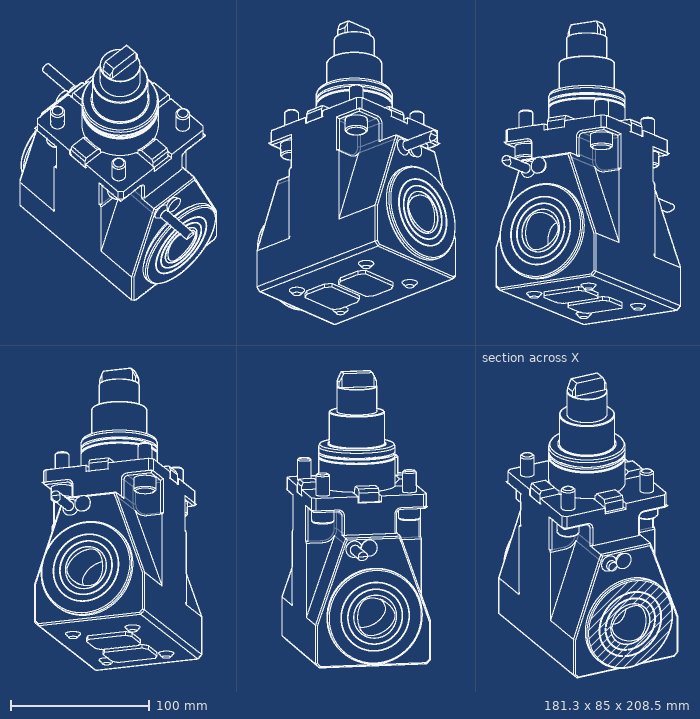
import cadquery as cq
import math


PLATE_LENGTH = 90.0
PLATE_WIDTH = 85.0
PLATE_CORNER = 2.8
PLATE_CORNER_DEPTH = 9.2

BODY_CENTER_X = -2.0
BODY_LENGTH = 119.4
BODY_TOP = -27.9
BODY_BOTTOM = -122.5
BODY_END_CHAMFER = 1.2
BODY_BOTTOM_CHAMFER = 3.0
TOWER_HALF_LENGTH = 24.6
SLOPE_TOP = -31.7
SLOPE_BOTTOM = -91.0

POCKET_WALL_X = 23.7
POCKET_WALL_Y = 20.2
POCKET_CEILING = -10.7
POCKET_FLOOR = -36.7
POCKET_FLARE_FLOOR = -35.3
POCKET_TOP_RADIUS = 3.0
POCKET_FLOOR_RADIUS = 10.3
POCKET_CORNER_RADIUS = 1.5
POCKET_FLARE = 1.5

SCREW_OFFSET = 32.0
SCREW_DIAMETER = 10.0
SCREW_TIP = 15.4
SCREW_TIP_CHAMFER = 1.2
HEAD_DIAMETER = 16.0
HEAD_LENGTH = 9.4
HEAD_CHAMFER = 1.0

KEY_WIDTH = 14.8
KEY_SLOT_WIDTH = 17.0
KEY_INNER = 26.0
KEY_BEVEL_FOOT = 27.2
KEY_OUTER = 42.3
KEY_TOP = 5.0
KEY_SLOT_DEPTH = 4.6
KEY_INNER_BEVEL = 2.8
KEY_OUTER_BEVEL = 1.2
KEY_BEVEL_HEIGHT = 2.8

COLLAR_DIAMETER = 55.3
COLLAR_TOP = 30.4
COLLAR_CHAMFER = 0.8
COLLAR_CHAMFER_HEIGHT = 1.8
GROOVE_DIAMETER = 50.0
GROOVE_TOP = 24.9
GROOVE_BOTTOM = 23.6
RELIEF_DIAMETER = 54.0
RELIEF_TOP = 21.2
RELIEF_BOTTOM = 20.4
STEP_DIAMETER = 42.0
STEP_HEIGHT = 0.6
SHAFT_DIAMETER = 40.0
SHAFT_TOP = 54.4
SHAFT_CHAMFER = 0.6
NOSE_DIAMETER = 29.0
NOSE_TOP = 73.0
NOSE_CHAMFER = 0.3
TANG_TOP = 83.2
TANG_HALF_THICKNESS = 4.4
TANG_HALF_END = 3.6
TANG_HALF_WIDTH = 13.8
TANG_HALF_FLAT = 11.8
TANG_BEVEL_START = 77.0
TANG_BEVEL = 3.2

BORE_Z = -85.0
FLANGE_DIAMETER = 70.0
FLANGE_FACE = 66.1
FLANGE_THICKNESS = 3.5
FLANGE_CHAMFER = 1.0
HUB_DIAMETER = 62.0
BORE_RIM_DIAMETER = 31.6
BORE_RIM_DEPTH = 0.5
BORE_RADIUS = 13.8
BORE_ECCENTRICITY = 0.9
BORE_DEPTH = 30.0
BORE_TAPER = 1 / 40
BORE_POINTS = 36
RING_DIAMETERS = (50.0, 40.0)
RING_WIDTH = 0.3

PIPE_DIAMETER = 7.0
PIPE_Y = 14.2
PIPE_Z = -36.0
PIPE_END = 90.65
NOZZLE_DIAMETER = 12.0
NOZZLE_FACE = 62.8
PLUG_Y = 3.8
PLUG_Z = -35.0
PLUG_DIAMETER = 12.0
PLUG_NECK_DIAMETER = 9.5

PAD_LENGTH = 26.8
PAD_WIDTH = 35.0
PAD_HEIGHT = 2.8
PAD_CORNER_X = 4.7
PAD_CORNER_Y = 3.0
PAD_CENTERS_X = (-11.6, 21.9)
BUTTON_BASE_DIAMETER = 11.0
BUTTON_TIP_DIAMETER = 6.0
BUTTON_CENTERS_X = (-33.4, 35.2)
BUTTON_Y = 23.0

HALF_LENGTH = PLATE_LENGTH / 2
HALF_WIDTH = PLATE_WIDTH / 2
BODY_HALF = BODY_LENGTH / 2
OVERLAP = 1.0


def quarter_arc_point(center_y, center_z, radius, sign_y, sign_z):
    """Middle point of a quarter arc around a centre in the YZ plane."""
    reach = radius * math.sqrt(0.5)
    return center_y + sign_y * reach, center_z + sign_z * reach


def cone(start_diameter, end_diameter, height, origin, direction):
    """Truncated cone that starts at origin and runs along direction."""
    start = cq.Vector(*origin)
    axis = cq.Vector(*direction)
    return cq.Workplane(cq.Solid.makeCone(start_diameter / 2, end_diameter / 2, height, start, axis))


def four_corners(shape):
    """Shape in the +X+Y quadrant together with its three mirror images."""
    pair = shape.union(shape.mirror("YZ"))
    return pair.union(pair.mirror("XZ"))


def pocket_outline(x, grow):
    """YZ outline of a screw pocket in the plane at x, enlarged by grow."""
    wall = POCKET_WALL_Y - grow
    ceiling = POCKET_CEILING + grow
    floor = POCKET_FLOOR - grow
    top_radius = POCKET_TOP_RADIUS + grow
    floor_radius = POCKET_FLOOR_RADIUS + grow
    outside = HALF_WIDTH + OVERLAP
    top_mid = quarter_arc_point(wall + top_radius, ceiling - top_radius, top_radius, -1, 1)
    floor_mid = quarter_arc_point(wall + floor_radius, floor + floor_radius, floor_radius, -1, -1)
    return (
        cq.Workplane("YZ", origin=(x, 0, 0))
        .moveTo(outside, ceiling)
        .lineTo(wall + top_radius, ceiling)
        .threePointArc(top_mid, (wall, ceiling - top_radius))
        .lineTo(wall, floor + floor_radius)
        .threePointArc(floor_mid, (wall + floor_radius, floor))
        .lineTo(outside, floor)
        .close()
    )


def pocket_front_outline(y, grow):
    """Rectangle of a screw pocket in the plane at y; grow widens the wall and the ceiling."""
    wall = POCKET_WALL_X - grow
    outside = HALF_LENGTH + OVERLAP
    ceiling = POCKET_CEILING + grow
    floor = POCKET_FLARE_FLOOR
    return (
        cq.Workplane("XZ", origin=(0, y, 0))
        .moveTo((wall + outside) / 2, (ceiling + floor) / 2)
        .rect(outside - wall, ceiling - floor)
    )


def ruled_loft(first, second):
    """Straight-sided solid between two outlines."""
    wires = [first.wires().val(), second.wires().val()]
    return cq.Workplane(cq.Solid.makeLoft(wires, True))


def screw_pocket():
    """Corner pocket with flared edges on the two outer faces."""
    pocket = pocket_outline(POCKET_WALL_X, 0).extrude(HALF_LENGTH + OVERLAP - POCKET_WALL_X)
    corner = cq.selectors.BoxSelector(
        (POCKET_WALL_X - OVERLAP, POCKET_WALL_Y - OVERLAP, POCKET_FLOOR + OVERLAP),
        (POCKET_WALL_X + OVERLAP, POCKET_WALL_Y + POCKET_FLOOR_RADIUS, POCKET_CEILING - OVERLAP / 2),
    )
    pocket = pocket.edges(corner).fillet(POCKET_CORNER_RADIUS)
    end_flare = ruled_loft(
        pocket_outline(HALF_LENGTH - POCKET_FLARE, 0),
        pocket_outline(HALF_LENGTH, POCKET_FLARE),
    )
    front_flare = ruled_loft(
        pocket_front_outline(HALF_WIDTH - POCKET_FLARE, 0),
        pocket_front_outline(HALF_WIDTH, POCKET_FLARE),
    )
    return pocket.union(end_flare).union(front_flare)


def tower():
    """Mounting plate, neck and central column with the four screw pockets."""
    column_height = -BODY_BOTTOM
    column = cq.Workplane("XY").box(
        2 * TOWER_HALF_LENGTH, PLATE_WIDTH, column_height, centered=(True, True, False)
    )
    column = column.translate((0, 0, BODY_BOTTOM))
    column = column.edges("|X and <Z").chamfer(BODY_BOTTOM_CHAMFER)
    neck = cq.Workplane("XY").rect(PLATE_LENGTH, PLATE_WIDTH).extrude(SLOPE_TOP)
    block = column.union(neck).cut(four_corners(screw_pocket()))
    sharp_plate = cq.Workplane("XY").rect(PLATE_LENGTH, PLATE_WIDTH).extrude(-PLATE_CORNER_DEPTH)
    chamfered_plate = sharp_plate.edges("|Z").chamfer(PLATE_CORNER)
    return block.cut(sharp_plate.cut(chamfered_plate))


def housing():
    """Long lower body whose top narrows along sloped sides."""
    arc_y = POCKET_WALL_Y + POCKET_FLOOR_RADIUS
    arc_z = POCKET_FLOOR + POCKET_FLOOR_RADIUS

    def on_arc(z):
        """Y of the pocket floor arc at height z."""
        return arc_y - math.sqrt(POCKET_FLOOR_RADIUS**2 - (z - arc_z) ** 2)

    arc_mid = (BODY_TOP + SLOPE_TOP) / 2
    body = (
        cq.Workplane("YZ", origin=(BODY_CENTER_X - BODY_HALF, 0, 0))
        .moveTo(0, BODY_TOP)
        .lineTo(on_arc(BODY_TOP), BODY_TOP)
        .threePointArc((on_arc(arc_mid), arc_mid), (on_arc(SLOPE_TOP), SLOPE_TOP))
        .lineTo(HALF_WIDTH, SLOPE_BOTTOM)
        .lineTo(HALF_WIDTH, BODY_BOTTOM + BODY_BOTTOM_CHAMFER)
        .lineTo(HALF_WIDTH - BODY_BOTTOM_CHAMFER, BODY_BOTTOM)
        .lineTo(0, BODY_BOTTOM)
        .mirrorY()
        .extrude(BODY_LENGTH)
    )
    return body.faces("<X or >X").chamfer(BODY_END_CHAMFER)


def clamping_screw():
    """Screw with its head under the plate and its threaded end standing above it."""
    head = (
        cq.Workplane("XY", origin=(0, 0, POCKET_CEILING - HEAD_LENGTH))
        .circle(HEAD_DIAMETER / 2)
        .extrude(HEAD_LENGTH + OVERLAP)
        .faces("<Z")
        .chamfer(HEAD_CHAMFER)
    )
    shank = cq.Workplane("XY").circle(SCREW_DIAMETER / 2).extrude(SCREW_TIP)
    shank = shank.faces(">Z").chamfer(SCREW_TIP_CHAMFER)
    root = cq.Workplane("XY").circle(SCREW_DIAMETER / 2).extrude(POCKET_CEILING)
    return head.union(shank).union(root).translate((SCREW_OFFSET, SCREW_OFFSET, 0))


def key_slot():
    """Slot along +X from the spindle to beyond the plate edge."""
    length = HALF_LENGTH + OVERLAP - KEY_INNER
    return (
        cq.Workplane("XY", origin=(KEY_INNER + length / 2, 0, -KEY_SLOT_DEPTH))
        .rect(length, KEY_SLOT_WIDTH)
        .extrude(KEY_SLOT_DEPTH + OVERLAP)
    )


def key():
    """Key block along +X with a bevel at each end."""
    return (
        cq.Workplane("XZ", origin=(0, KEY_WIDTH / 2, 0))
        .moveTo(KEY_INNER, -KEY_SLOT_DEPTH - OVERLAP)
        .lineTo(KEY_OUTER, -KEY_SLOT_DEPTH - OVERLAP)
        .lineTo(KEY_OUTER, KEY_TOP - KEY_BEVEL_HEIGHT)
        .lineTo(KEY_OUTER - KEY_OUTER_BEVEL, KEY_TOP)
        .lineTo(KEY_BEVEL_FOOT + KEY_INNER_BEVEL, KEY_TOP)
        .lineTo(KEY_BEVEL_FOOT, KEY_TOP - KEY_BEVEL_HEIGHT)
        .lineTo(KEY_INNER, KEY_TOP - KEY_BEVEL_HEIGHT)
        .close()
        .extrude(KEY_WIDTH)
    )


def spindle():
    """Turned collar, shaft and nose, topped by the drive tang."""
    collar_radius = COLLAR_DIAMETER / 2
    shaft_radius = SHAFT_DIAMETER / 2
    nose_radius = NOSE_DIAMETER / 2
    outline = [
        (0, -KEY_SLOT_DEPTH - OVERLAP),
        (collar_radius, -KEY_SLOT_DEPTH - OVERLAP),
        (collar_radius, RELIEF_BOTTOM),
        (RELIEF_DIAMETER / 2, RELIEF_BOTTOM),
        (RELIEF_DIAMETER / 2, RELIEF_TOP),
        (collar_radius, RELIEF_TOP),
        (collar_radius, GROOVE_BOTTOM),
        (GROOVE_DIAMETER / 2, GROOVE_BOTTOM),
        (GROOVE_DIAMETER / 2, GROOVE_TOP),
        (collar_radius, GROOVE_TOP),
        (collar_radius, COLLAR_TOP - COLLAR_CHAMFER_HEIGHT),
        (collar_radius - COLLAR_CHAMFER, COLLAR_TOP),
        (STEP_DIAMETER / 2, COLLAR_TOP),
        (STEP_DIAMETER / 2, COLLAR_TOP + STEP_HEIGHT),
        (shaft_radius, COLLAR_TOP + STEP_HEIGHT),
        (shaft_radius, SHAFT_TOP - SHAFT_CHAMFER),
        (shaft_radius - SHAFT_CHAMFER, SHAFT_TOP),
        (nose_radius, SHAFT_TOP),
        (nose_radius, NOSE_TOP - NOSE_CHAMFER),
        (nose_radius - NOSE_CHAMFER, NOSE_TOP),
        (0, NOSE_TOP),
    ]
    turned = cq.Workplane("XZ").polyline(outline).close().revolve(360, (0, 0), (0, 1))
    return turned.union(tang())


def tang():
    """Flat drive tang with narrowed ends and bevelled top corners."""
    plan = [
        (TANG_HALF_THICKNESS, -TANG_HALF_FLAT),
        (TANG_HALF_THICKNESS, TANG_HALF_FLAT),
        (TANG_HALF_END, TANG_HALF_WIDTH),
        (-TANG_HALF_END, TANG_HALF_WIDTH),
        (-TANG_HALF_THICKNESS, TANG_HALF_FLAT),
        (-TANG_HALF_THICKNESS, -TANG_HALF_FLAT),
        (-TANG_HALF_END, -TANG_HALF_WIDTH),
        (TANG_HALF_END, -TANG_HALF_WIDTH),
    ]
    base = NOSE_TOP - OVERLAP
    side = [
        (-TANG_HALF_WIDTH, base),
        (TANG_HALF_WIDTH, base),
        (TANG_HALF_WIDTH, TANG_BEVEL_START),
        (TANG_HALF_WIDTH - TANG_BEVEL, TANG_TOP),
        (TANG_BEVEL - TANG_HALF_WIDTH, TANG_TOP),
        (-TANG_HALF_WIDTH, TANG_BEVEL_START),
    ]
    prism = cq.Workplane("XY", origin=(0, 0, base)).polyline(plan).close().extrude(TANG_TOP - base)
    profile = cq.Workplane("YZ").polyline(side).close().extrude(TANG_HALF_THICKNESS, both=True)
    return prism.intersect(profile)


def bore_wire(x, radius):
    """Three-lobed polygon outline, one lobe towards +Y, in the plane at x."""
    ecc = BORE_ECCENTRICITY
    points = []
    for step in range(BORE_POINTS):
        angle = 2 * math.pi * step / BORE_POINTS
        across = -radius * math.cos(angle) + 2 * ecc * math.cos(2 * angle) - ecc * math.cos(4 * angle)
        up = radius * math.sin(angle) + 2 * ecc * math.sin(2 * angle) + ecc * math.sin(4 * angle)
        points.append(cq.Vector(x, across, BORE_Z + up))
    return cq.Wire.assembleEdges([cq.Edge.makeSpline(points, periodic=True)])


def side_flange():
    """Flange and hub on the -X end."""
    hub = (
        cq.Workplane("YZ", origin=(BODY_CENTER_X - FLANGE_FACE, 0, BORE_Z))
        .circle(HUB_DIAMETER / 2)
        .extrude(FLANGE_FACE - BODY_HALF + OVERLAP)
    )
    flange = (
        cq.Workplane("YZ", origin=(BODY_CENTER_X - FLANGE_FACE, 0, BORE_Z))
        .circle(FLANGE_DIAMETER / 2)
        .extrude(FLANGE_THICKNESS)
        .faces("<X")
        .chamfer(FLANGE_CHAMFER)
    )
    return hub.union(flange)


def side_bore():
    """Tapered polygon bore, its round rim and the ring grooves on the -X flange face."""
    face = BODY_CENTER_X - FLANGE_FACE
    plane = cq.Workplane("YZ", origin=(face, 0, BORE_Z))
    wires = [
        bore_wire(face, BORE_RADIUS),
        bore_wire(face + BORE_DEPTH, BORE_RADIUS - BORE_DEPTH * BORE_TAPER),
    ]
    cutter = cq.Workplane(cq.Solid.makeLoft(wires, True))
    cutter = cutter.union(plane.circle(BORE_RIM_DIAMETER / 2).extrude(BORE_RIM_DEPTH))
    for diameter in RING_DIAMETERS:
        ring = plane.circle(diameter / 2 + RING_WIDTH).circle(diameter / 2).extrude(BORE_RIM_DEPTH)
        cutter = cutter.union(ring)
    return cutter


def coolant_outlet():
    """Pipe with a half-bevelled tip, its conical nozzle and the plug on the -X end."""
    pipe_radius = PIPE_DIAMETER / 2
    tip = BODY_CENTER_X - PIPE_END
    end = BODY_CENTER_X - BODY_HALF
    pipe = (
        cq.Workplane("XZ", origin=(0, PIPE_Y + pipe_radius, 0))
        .moveTo(tip, PIPE_Z + pipe_radius)
        .lineTo(end + OVERLAP, PIPE_Z + pipe_radius)
        .lineTo(end + OVERLAP, PIPE_Z - pipe_radius)
        .lineTo(tip + pipe_radius, PIPE_Z - pipe_radius)
        .lineTo(tip, PIPE_Z)
        .close()
        .extrude(PIPE_DIAMETER)
    )
    rod = (
        cq.Workplane("YZ", origin=(tip, PIPE_Y, PIPE_Z))
        .circle(pipe_radius)
        .extrude(PIPE_END)
    )
    height = NOZZLE_FACE - BODY_HALF
    nozzle_origin = (end - height, PIPE_Y, PIPE_Z)
    plug_origin = (end - height, PLUG_Y, PLUG_Z)
    nozzle = cone(PIPE_DIAMETER, NOZZLE_DIAMETER, height, nozzle_origin, (1, 0, 0))
    plug = cone(PLUG_DIAMETER, PLUG_NECK_DIAMETER, height, plug_origin, (1, 0, 0))
    return pipe.intersect(rod).union(nozzle).union(plug)


def half_turn(shape):
    """Copy of a shape turned half around the vertical axis of the housing."""
    return shape.rotate((BODY_CENTER_X, 0, 0), (BODY_CENTER_X, 0, 1), 180)


def mirror_end(shape):
    """Copy of a shape mirrored to the opposite end of the housing."""
    return shape.mirror("YZ", (BODY_CENTER_X, 0, 0))


def bottom_pad(x):
    """Raised pad with bevelled corners under the housing."""
    half_x = PAD_LENGTH / 2
    half_y = PAD_WIDTH / 2
    flat_x = half_x - PAD_CORNER_X
    flat_y = half_y - PAD_CORNER_Y
    outline = [
        (flat_x, half_y),
        (half_x, flat_y),
        (half_x, -flat_y),
        (flat_x, -half_y),
        (-flat_x, -half_y),
        (-half_x, -flat_y),
        (-half_x, flat_y),
        (-flat_x, half_y),
    ]
    return cq.Workplane("XY", origin=(x, 0, BODY_BOTTOM)).polyline(outline).close().extrude(-PAD_HEIGHT)


def button_screw(x, y):
    """Conical screw head under the housing."""
    return cone(BUTTON_BASE_DIAMETER, BUTTON_TIP_DIAMETER, PAD_HEIGHT, (x, y, BODY_BOTTOM), (0, 0, -1))


def build():
    """Join all features into one solid."""
    part = tower().union(housing())
    part = part.union(four_corners(clamping_screw()))
    for angle in range(0, 360, 90):
        part = part.cut(key_slot().rotate((0, 0, 0), (0, 0, 1), angle))
    for angle in range(0, 360, 90):
        part = part.union(key().rotate((0, 0, 0), (0, 0, 1), angle))
    part = part.union(spindle())
    part = part.union(side_flange()).union(mirror_end(side_flange()))
    part = part.union(coolant_outlet()).union(half_turn(coolant_outlet()))
    part = part.cut(side_bore()).cut(mirror_end(side_bore()))
    for x in PAD_CENTERS_X:
        part = part.union(bottom_pad(x))
    for x in BUTTON_CENTERS_X:
        for y in (-BUTTON_Y, BUTTON_Y):
            part = part.union(button_screw(x, y))
    return part


result = build()